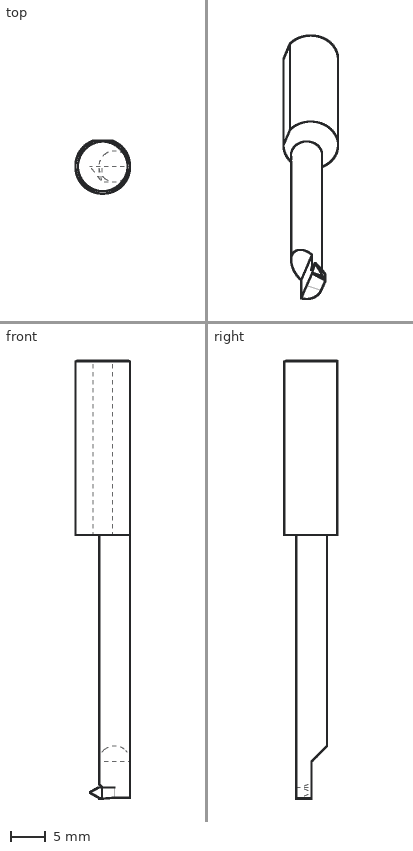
import cadquery as cq

total_length = 63.5
shank_diameter = 7.95
shank_radius = shank_diameter / 2
shank_bottom = 38.2
flat_depth = 0.25
chamfer_height = 0.2
chamfer_width = 0.4

neck_diameter = 4.5
neck_radius = neck_diameter / 2
neck_x = shank_radius - neck_radius
neck_bottom = 0.2
ramp_end_z = 5.45

head_height = 1.7
head_root_x = -0.6
head_heel_x = -0.1
notch_top = 2.2
tooth_tip_x = -1.85
tooth_tip_z = 0.95
tooth_half_height = 0.75
tip_half_height = 0.05


def make_shank():
    """Chamfered shank with the flat cut along its full length."""
    shank = (
        cq.Workplane("XY")
        .workplane(offset=shank_bottom)
        .circle(shank_radius)
        .extrude(total_length - shank_bottom)
        .faces(">Z")
        .chamfer(chamfer_height, chamfer_width)
    )
    flat_cutter = cq.Workplane("XY").box(
        shank_diameter, shank_diameter, total_length, centered=(True, False, False)
    )
    return shank.cut(flat_cutter.translate((0, shank_radius - flat_depth, 0)))


def make_neck():
    """Round neck whose lower end is halved, with a 45 degree run-out."""
    neck = (
        cq.Workplane("XY")
        .workplane(offset=neck_bottom)
        .center(neck_x, 0)
        .circle(neck_radius)
        .extrude(shank_bottom - neck_bottom)
    )
    half_cutter = (
        cq.Workplane("YZ")
        .moveTo(0, 0)
        .lineTo(0, ramp_end_z)
        .lineTo(neck_diameter, ramp_end_z + neck_diameter)
        .lineTo(neck_diameter, 0)
        .close()
        .extrude(shank_diameter, both=True)
    )
    notch = (
        cq.Workplane("XZ")
        .moveTo(head_root_x, notch_top)
        .lineTo(head_root_x, head_height)
        .lineTo(head_heel_x, head_height)
        .close()
        .extrude(neck_radius)
    )
    return neck.cut(half_cutter).cut(notch)


def make_head():
    """Block on the -Y half of the neck, with relieved flank and tilted bottom."""
    plan = (
        cq.Workplane("XY")
        .moveTo(head_root_x, 0)
        .lineTo(head_heel_x, -neck_radius)
        .lineTo(neck_x, -neck_radius)
        .lineTo(neck_x, 0)
        .close()
        .extrude(head_height)
    )
    side = (
        cq.Workplane("XZ")
        .moveTo(head_root_x, 0)
        .lineTo(neck_x, neck_bottom)
        .lineTo(neck_x, head_height)
        .lineTo(head_root_x, head_height)
        .close()
        .extrude(neck_radius)
    )
    return plan.intersect(side)


def make_tooth():
    """Pointed thread profile cut back by a vertical relief plane from tip to heel."""
    upper_root_z = tooth_tip_z + tooth_half_height
    lower_root_z = tooth_tip_z - tooth_half_height
    profile = (
        cq.Workplane("XZ")
        .moveTo(tooth_tip_x, tooth_tip_z + tip_half_height)
        .lineTo(head_root_x, upper_root_z)
        .lineTo(head_heel_x, upper_root_z)
        .lineTo(head_heel_x, lower_root_z)
        .lineTo(head_root_x, lower_root_z)
        .lineTo(tooth_tip_x, tooth_tip_z - tip_half_height)
        .close()
        .extrude(neck_radius)
    )
    relief_plan = (
        cq.Workplane("XY")
        .moveTo(tooth_tip_x, 0)
        .lineTo(head_heel_x, -neck_radius)
        .lineTo(head_heel_x, 0)
        .close()
        .extrude(head_height)
    )
    return profile.intersect(relief_plan)


result = make_shank().union(make_neck()).union(make_head()).union(make_tooth())